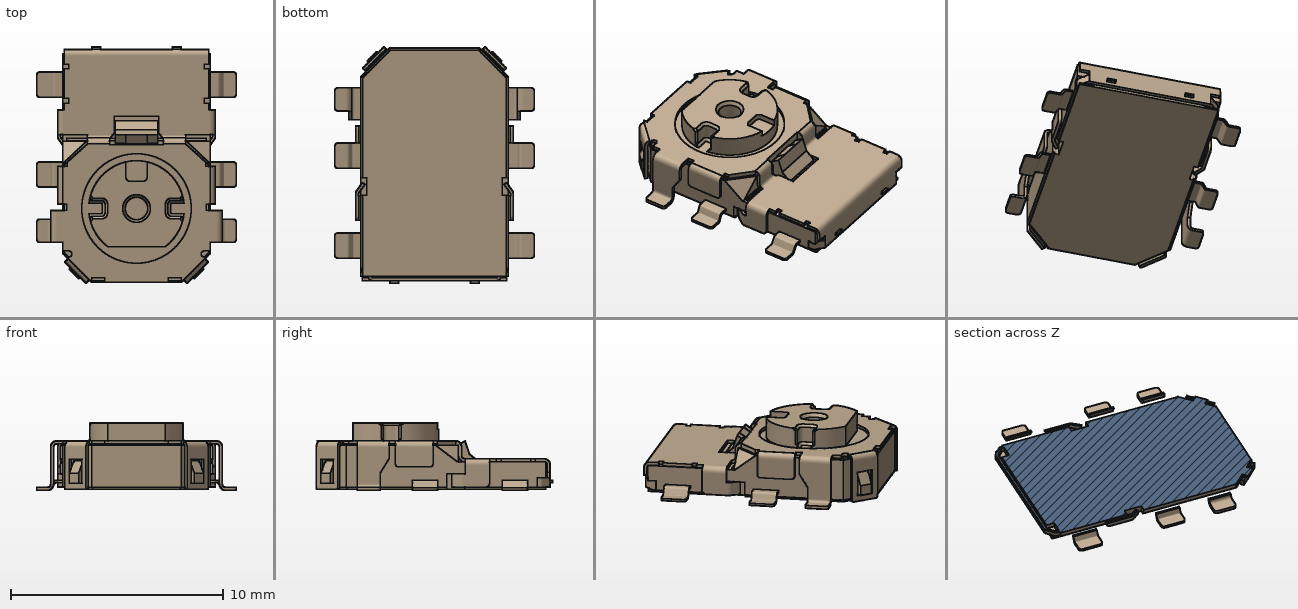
import cadquery as cq
import math


SHEET = 0.15
BEND = 0.215
COVER_TOP = 2.33
REAR_COVER_TOP = 1.49
COVER_MID_Z = COVER_TOP - SHEET / 2
REAR_COVER_MID_Z = REAR_COVER_TOP - SHEET / 2
CUT = 1.0

BODY_HALF_X = 3.48
BODY_BOTTOM = 0.145
BODY_TOP = COVER_TOP - SHEET
REAR_BODY_TOP = REAR_COVER_TOP - SHEET
BODY_FRONT_Y = -3.475
BODY_STEP_Y = 3.17
BODY_REAR_Y = 7.28
FRONT_CHAMFER = 1.37
TOP_EDGE_CHAMFER = 0.07
FACET_FRONT_Y = 2.1
FACET_REAR_Y = 3.12
FACET_INNER_X = 2.35
SIDE_NOTCH_Y = (2.63, 3.47)
SIDE_NOTCH_DEPTH = 0.3
SIDE_NOTCH_TOP = 0.77
LEDGE_GROOVE_HALF_X = 3.28
LEDGE_GROOVE_Y = (3.18, 3.30)
LEDGE_GROOVE_DEPTH = 0.1

BASE_BOTTOM = 0.045
BASE_INSET = 0.1

ROTOR_R = 2.25
ROTOR_TOP = 3.17
ROTOR_FLAT_Y = -1.8
DISC_R = 2.58
DISC_RECESS = 0.13
DISC_TOP = COVER_TOP - DISC_RECESS
HOLE_R = 0.53
HOLE_CHAMFER = 0.12
HOLE_CHAMFER_DEPTH = 0.18
HOLE_DEPTH = 1.5
INDEX_NOTCH_W = 1.0
INDEX_NOTCH_Y = 1.28
INDEX_NOTCH_DEPTH = 0.29
INDEX_NOTCH_R = 0.2
SLOT_W = 0.74
SLOT_INNER_X = 1.48
SLOT_CHAMFER = 0.12
SLOT_CORNER_R = 0.17
SLOT_FLOOR_CHAMFER = 0.13
SLOT_MOUTH_CHAMFER = 0.1

COVER_HALF_X = BODY_HALF_X
REAR_COVER_HALF_X = 3.41
COVER_REAR_Y = 3.04
COVER_SIDE_Y = 1.98
COVER_REAR_HALF_X = 2.31
REAR_COVER_FRONT_Y = 3.48
REAR_COVER_BACK_Y = 7.49
STEP_MID_Y = BODY_STEP_Y + SHEET / 2
WINDOW_HALF_X = 1.26
WINDOW_FRONT_Y = 3.0
WINDOW_FLARE_Y = (3.27, 3.55)
REAR_WINDOW_HALF_X = 1.045
REAR_WINDOW_BACK_Y = 4.35
FRONT_RELIEF_X = (1.5, 2.1)
FRONT_RELIEF_Y = -3.27
CORNER_RELIEF_X = 3.18
CORNER_RELIEF_Y = (-2.28, -2.0)
REAR_RELIEF_X = 3.18
REAR_RELIEF_Y = ((4.96, 5.18), (6.58, 6.79))

ROOT_X = 3.18
WING_OUTER_X = 3.717
WING_Y = (0.2, 1.98)
WING_BOTTOM = 1.1
WING_CORNER_R = 0.15
REAR_WING_Y = (REAR_COVER_FRONT_Y, 4.64)
REAR_WING_CORNER_R = 0.2
CURL_REACH_Y = 3.12
CURL_END_Y = 2.91

FOOT_END_X = 4.7
FOOT_CORNER_R = 0.15
LEG_OUTER_X = 4.045
LEG_Y = (-1.6, -0.09)
LEG_FOOT_Y = -0.5
LEG_TAPER_Z = (0.84, 1.49)

SIDE_RELIEFS = (
    (3.26, WING_Y[1], 2.2),
    (3.29, LEG_Y[1], WING_Y[0]),
)

FLAP_OUTER = 4.175
FLAP_W = 1.42
CORNER_ANGLE = -45
FLAP_SHIFT = -0.1
FLAP_CORNER_R = 0.08
FLAP_WINDOW_W = 0.835
HOOK_W = 0.62
HOOK_OUTER = 4.26
HOOK_INNER = 3.96
HOOK_Z = (0.33, 0.81, 1.39)
FLAP_WINDOW_Z = (HOOK_Z[0], 1.46)

TERMINAL_SHEET = 0.11
TERMINAL_W = 1.2
TERMINAL_BEND = 0.09
TERMINAL_UPPER_Z = 0.405
TERMINAL_BEND_END_X = 4.07
TERMINALS = ((1.6, 3.91), (5.83, 3.86))
PIN_X = (1.69, 2.1)
PIN_Z = (0.35, 0.46)
PIN_END_Y = 7.61
EAR_END_Y = 6.89
EAR_TOP = 0.6
EAR_X = (2.95, 3.35)
EAR_DIAGONAL_Y = 7.03
EAR_RELIEF_TOP = 0.84
EAR_RADIUS = 0.15
EAR_POCKET_X = 2.7

STOP_HALF_X = 1.0
STOP_RAMP_Y = 4.13
STOP_KNEE = (3.695, 1.70)
STOP_CREST = (3.48, COVER_TOP)
STOP_NOSE_Z = 2.05
STOP_FRONT_Y = (3.08, 3.04)
STOP_MID_HALF_X = 0.5


def box(x, y, z):
    """Box from (low, high) pairs."""
    return cq.Workplane("XY").box(
        x[1] - x[0], y[1] - y[0], z[1] - z[0], centered=False
    ).translate((x[0], y[0], z[0]))


def both_sides(shape):
    """Shape together with its mirror image in X."""
    return shape.union(shape.mirror("YZ"))


def bent_strip(plane, path, width, thickness, radius):
    """Sheet of constant thickness following a centreline with rounded bends."""
    half = thickness / 2
    pts = [cq.Vector(x, y, 0) for x, y in path]
    headings = [(b - a).normalized() for a, b in zip(pts, pts[1:])]
    normals = [cq.Vector(-d.y, d.x, 0) for d in headings]

    def side(sign):
        """Straight and arc stretches of one face, in path order."""
        stretches = [("line", pts[0] + normals[0] * (sign * half))]
        for i in range(1, len(pts) - 1):
            before, after = headings[i - 1], headings[i]
            turn = math.atan2(before.cross(after).z, before.dot(after))
            hand = math.copysign(1, turn)
            setback = radius * math.tan(abs(turn) / 2)
            start = pts[i] - before * setback
            centre = start + normals[i - 1] * (hand * radius)
            arm = radius - sign * hand * half
            middle = (normals[i - 1] + normals[i]).normalized()
            stretches.append(("line", centre - normals[i - 1] * (hand * arm)))
            stretches.append(("arc", centre - middle * (hand * arm), centre - normals[i] * (hand * arm)))
        stretches.append(("line", pts[-1] + normals[-1] * (sign * half)))
        return stretches

    left = side(1)
    right = side(-1)
    profile = cq.Workplane(plane).moveTo(*left[0][1].toTuple()[:2])
    for kind, *ends in left[1:]:
        if kind == "line":
            profile = profile.lineTo(ends[0].x, ends[0].y)
        else:
            profile = profile.threePointArc((ends[0].x, ends[0].y), (ends[1].x, ends[1].y))
    profile = profile.lineTo(right[-1][1].x, right[-1][1].y)
    for i in range(len(right) - 1, 0, -1):
        target = right[i - 1][-1]
        if right[i][0] == "line":
            profile = profile.lineTo(target.x, target.y)
        else:
            profile = profile.threePointArc((right[i][1].x, right[i][1].y), (target.x, target.y))
    return profile.close().extrude(width / 2, both=True)


def side_strip(path, y, thickness=SHEET, radius=BEND):
    """Bent strip in XZ spanning a Y range."""
    strip = bent_strip("XZ", path, y[1] - y[0], thickness, radius)
    return strip.translate((0, (y[0] + y[1]) / 2, 0))


def front_outline(rear_y):
    """Outline shared by the body and the base: chamfered front corners."""
    half = BODY_HALF_X
    return [
        (-half, rear_y),
        (-half, BODY_FRONT_Y + FRONT_CHAMFER),
        (-half + FRONT_CHAMFER, BODY_FRONT_Y),
        (half - FRONT_CHAMFER, BODY_FRONT_Y),
        (half, BODY_FRONT_Y + FRONT_CHAMFER),
        (half, rear_y),
    ]


def prism(points, bottom, top):
    """Vertical prism over an XY outline."""
    return cq.Workplane("XY").polyline(points).close().extrude(top - bottom).translate((0, 0, bottom))


def facet_cutter():
    """Sloped slice off the rear top corner, with a flat ledge beside the cover."""
    high_z = BODY_TOP - TOP_EDGE_CHAMFER
    a = cq.Vector(BODY_HALF_X, FACET_FRONT_Y, high_z)
    b = cq.Vector(BODY_HALF_X, FACET_REAR_Y, REAR_BODY_TOP)
    c = cq.Vector(FACET_INNER_X, BODY_STEP_Y, high_z)
    normal = (b - a).cross(c - a)
    if normal.z < 0:
        normal = -normal
    plane = cq.Plane(origin=a, xDir=(c - a), normal=normal)
    size = BODY_HALF_X + CUT
    slab = cq.Workplane(plane).rect(size, size).extrude(CUT)
    slope = slab.intersect(box((0, size), (0, size), (REAR_BODY_TOP, COVER_TOP)))
    ledge_outline = [
        (BODY_HALF_X, COVER_SIDE_Y),
        (COVER_REAR_HALF_X, COVER_REAR_Y),
        (COVER_REAR_HALF_X, BODY_STEP_Y),
        (BODY_HALF_X, BODY_STEP_Y),
    ]
    return slope.union(prism(ledge_outline, high_z, COVER_TOP))


def make_body():
    tall = prism(front_outline(BODY_STEP_Y), BODY_BOTTOM, BODY_TOP)
    tall = tall.faces(">Z").edges().chamfer(TOP_EDGE_CHAMFER)
    tall = tall.cut(both_sides(facet_cutter()))
    rear = box((-BODY_HALF_X, BODY_HALF_X), (0, BODY_REAR_Y), (BODY_BOTTOM, REAR_BODY_TOP))
    base = cq.Workplane("XY").polyline(front_outline(BODY_REAR_Y + BASE_INSET)).close()
    base = base.offset2D(-BASE_INSET).extrude(BODY_BOTTOM - BASE_BOTTOM).translate((0, 0, BASE_BOTTOM))
    outer_x = BODY_HALF_X + CUT
    side_notch = box((BODY_HALF_X - SIDE_NOTCH_DEPTH, outer_x), SIDE_NOTCH_Y, (0, SIDE_NOTCH_TOP))
    ear_pocket = box((EAR_POCKET_X, outer_x), (EAR_END_Y, BODY_REAR_Y), (BODY_BOTTOM, EAR_TOP))
    groove = box((0, LEDGE_GROOVE_HALF_X), LEDGE_GROOVE_Y, (REAR_BODY_TOP - LEDGE_GROOVE_DEPTH, BODY_TOP))
    pin = box(PIN_X, (BODY_REAR_Y, PIN_END_Y), PIN_Z)
    body = tall.union(rear).union(base)
    for pocket in (side_notch, ear_pocket, groove):
        body = body.cut(both_sides(pocket))
    return body.union(both_sides(pin))


def make_rotor_slot():
    """Drive slot open to the rim, narrowing towards its floor."""
    slot = box((SLOT_INNER_X, ROTOR_R + CUT), (-SLOT_W / 2, SLOT_W / 2), (DISC_TOP, ROTOR_TOP))
    slot = slot.edges("|Z and <X").fillet(SLOT_CORNER_R)
    return slot.faces("<Z").edges("not >X").chamfer(SLOT_FLOOR_CHAMFER)


def chamfer_slot_edges(rotor):
    """Break the slot edges at the rim and on the top face."""
    half = SLOT_W / 2 + SLOT_CHAMFER
    margin = SLOT_CHAMFER / 2
    for x in (-ROTOR_R, ROTOR_R):
        mouth = cq.selectors.BoxSelector(
            (x - SLOT_CHAMFER, -half, DISC_TOP), (x + SLOT_CHAMFER, half, ROTOR_TOP)
        )
        rotor = rotor.edges("|Z").edges(mouth).chamfer(SLOT_MOUTH_CHAMFER)
    for x0, x1 in ((-ROTOR_R, -SLOT_INNER_X), (SLOT_INNER_X, ROTOR_R)):
        top = cq.selectors.BoxSelector(
            (x0 - margin, -half, ROTOR_TOP - margin), (x1 + margin, half, ROTOR_TOP + margin)
        )
        rotor = rotor.faces(">Z").edges(top).chamfer(SLOT_CHAMFER)
    return rotor


def make_rotor():
    rotor = cq.Workplane("XY").circle(ROTOR_R).extrude(ROTOR_TOP - REAR_BODY_TOP)
    rotor = rotor.translate((0, 0, REAR_BODY_TOP))
    rim = ROTOR_R + CUT
    rotor = rotor.cut(box((-rim, rim), (-rim, ROTOR_FLAT_Y), (0, ROTOR_TOP + CUT)))
    rotor = rotor.cut(both_sides(make_rotor_slot()))
    rotor = chamfer_slot_edges(rotor)
    index = box(
        (-INDEX_NOTCH_W / 2, INDEX_NOTCH_W / 2),
        (INDEX_NOTCH_Y, rim),
        (ROTOR_TOP - INDEX_NOTCH_DEPTH, ROTOR_TOP + CUT),
    )
    return rotor.cut(index.edges("|Z and <Y").fillet(INDEX_NOTCH_R))


def make_rotor_hole():
    profile = [
        (0, 0),
        (HOLE_R + HOLE_CHAMFER, 0),
        (HOLE_R, -HOLE_CHAMFER_DEPTH),
        (HOLE_R, -HOLE_DEPTH),
        (0, -HOLE_DEPTH),
    ]
    hole = cq.Workplane("XZ").polyline(profile).close().revolve(360, (0, 0), (0, 1))
    return hole.translate((0, 0, ROTOR_TOP))


def make_front_plate():
    half = COVER_HALF_X
    outline = [
        (half, COVER_SIDE_Y),
        (COVER_REAR_HALF_X, COVER_REAR_Y),
        (-COVER_REAR_HALF_X, COVER_REAR_Y),
        (-half, COVER_SIDE_Y),
    ] + front_outline(COVER_SIDE_Y)[1:-1]
    plate = prism(outline, BODY_TOP, COVER_TOP)
    plate = plate.cut(cq.Workplane("XY").circle(DISC_R).extrude(COVER_TOP))
    through = (BODY_TOP - CUT, COVER_TOP + CUT)
    reliefs = box(FRONT_RELIEF_X, (BODY_FRONT_Y - CUT, FRONT_RELIEF_Y), through)
    for inner_x, y0, y1 in SIDE_RELIEFS:
        reliefs = reliefs.union(box((inner_x, half + CUT), (y0, y1), through))
    y0, y1 = CORNER_RELIEF_Y
    corner = cq.Workplane("XY").center(CORNER_RELIEF_X, (y0 + y1) / 2).circle((y1 - y0) / 2)
    corner = corner.extrude(COVER_TOP)
    corner = corner.union(box((CORNER_RELIEF_X, half + CUT), (y0, y1), (0, COVER_TOP)))
    return plate.cut(both_sides(reliefs.union(corner)))


def make_rear_plate():
    back_mid = REAR_COVER_BACK_Y - SHEET / 2
    plate = bent_strip(
        "YZ",
        [(REAR_COVER_FRONT_Y, REAR_COVER_MID_Z), (back_mid, REAR_COVER_MID_Z), (back_mid, BODY_BOTTOM)],
        2 * REAR_COVER_HALF_X, SHEET, BEND,
    )
    for y in REAR_RELIEF_Y:
        relief = box((REAR_RELIEF_X, BODY_HALF_X), y, (REAR_BODY_TOP, REAR_COVER_TOP))
        plate = plate.cut(both_sides(relief))
    start_x, end_x = EAR_X
    corner = box((start_x, BODY_HALF_X), (BODY_REAR_Y, REAR_COVER_BACK_Y), (BODY_BOTTOM, EAR_RELIEF_TOP))
    ear_path = [
        (start_x - SHEET, back_mid),
        (start_x, back_mid),
        (end_x, EAR_DIAGONAL_Y),
        (end_x, EAR_END_Y),
    ]
    ear = bent_strip("XY", ear_path, EAR_TOP - BODY_BOTTOM, SHEET, EAR_RADIUS)
    ear = ear.translate((0, 0, (EAR_TOP + BODY_BOTTOM) / 2))
    return plate.cut(both_sides(corner)).union(both_sides(ear))


def make_step():
    """Z-shaped web joining the two cover levels."""
    path = [
        (COVER_REAR_Y - SHEET, COVER_MID_Z),
        (STEP_MID_Y, COVER_MID_Z),
        (STEP_MID_Y, REAR_COVER_MID_Z),
        (REAR_COVER_FRONT_Y, REAR_COVER_MID_Z),
    ]
    return bent_strip("YZ", path, 2 * COVER_REAR_HALF_X, SHEET, BEND)


def make_window():
    """Opening across the step, flaring forward from the rear cut-out."""
    narrow, wide = REAR_WINDOW_HALF_X, WINDOW_HALF_X
    side = [
        (narrow, REAR_WINDOW_BACK_Y),
        (narrow, WINDOW_FLARE_Y[1]),
        (wide, WINDOW_FLARE_Y[0]),
        (wide, WINDOW_FRONT_Y),
    ]
    return prism(side + [(-x, y) for x, y in reversed(side)], REAR_BODY_TOP, COVER_TOP)


def make_ramp_stop():
    """Ramped stop that rises through the window, with a longer lip at mid width."""
    front_y, lip_y = STOP_FRONT_Y
    root_z = REAR_BODY_TOP - SHEET
    ramp = [(STOP_RAMP_Y, root_z), (STOP_RAMP_Y, REAR_BODY_TOP), STOP_KNEE, STOP_CREST]

    def block(half_x, nose_y):
        nose = [(nose_y, STOP_NOSE_Z), (nose_y, root_z)]
        return cq.Workplane("YZ").polyline(ramp + nose).close().extrude(half_x, both=True)

    return block(STOP_HALF_X, front_y).union(block(STOP_MID_HALF_X, lip_y))


def make_wings():
    """Side wings of both cover levels; the rear ones curl into the body notches."""
    mid_x = WING_OUTER_X - SHEET / 2
    front = side_strip([(ROOT_X, COVER_MID_Z), (mid_x, COVER_MID_Z), (mid_x, WING_BOTTOM)], WING_Y)
    front = front.faces("<Z").edges("|X").fillet(WING_CORNER_R)
    rear_path = [(ROOT_X, REAR_COVER_MID_Z), (mid_x, REAR_COVER_MID_Z), (mid_x, BODY_BOTTOM)]
    rear = side_strip(rear_path, REAR_WING_Y)
    rear = rear.faces("<Z").edges("|X and >Y").fillet(REAR_WING_CORNER_R)
    inner_x = BODY_HALF_X - SHEET
    curl = bent_strip(
        "XY",
        [(mid_x, REAR_WING_Y[0]), (mid_x, CURL_REACH_Y + BEND), (inner_x, CURL_END_Y)],
        SIDE_NOTCH_TOP - BODY_BOTTOM, SHEET, BEND,
    ).translate((0, 0, (SIDE_NOTCH_TOP + BODY_BOTTOM) / 2))
    return both_sides(front.union(rear).union(curl))


def make_legs():
    """Soldering legs bent down from the front plate and out into feet."""
    mid_x = LEG_OUTER_X - SHEET / 2
    path = [(ROOT_X, COVER_MID_Z), (mid_x, COVER_MID_Z), (mid_x, SHEET / 2), (FOOT_END_X, SHEET / 2)]
    leg = side_strip(path, LEG_Y)
    y1 = LEG_Y[1]
    taper_low, taper_high = LEG_TAPER_Z
    taper = [(y1, taper_high), (LEG_FOOT_Y, taper_low), (LEG_FOOT_Y, -CUT), (CUT, -CUT), (CUT, taper_high)]
    leg = leg.cut(cq.Workplane("YZ").polyline(taper).close().extrude(FOOT_END_X + CUT))
    return both_sides(leg.faces(">X").edges("|Z").fillet(FOOT_CORNER_R))


def make_terminals():
    half = TERMINAL_SHEET / 2
    terminals = cq.Workplane("XY")
    for y, bend_x in TERMINALS:
        path = [
            (ROOT_X, TERMINAL_UPPER_Z),
            (bend_x, TERMINAL_UPPER_Z),
            (TERMINAL_BEND_END_X, half),
            (FOOT_END_X, half),
        ]
        strip = side_strip(path, (y - TERMINAL_W / 2, y + TERMINAL_W / 2), TERMINAL_SHEET, TERMINAL_BEND)
        terminals = terminals.add(strip.faces(">X").edges("|Z").fillet(FOOT_CORNER_R))
    return both_sides(terminals.combine())


def make_corner_flaps():
    """Flaps over the front chamfers, each latched on a moulded hook."""
    mid = FLAP_OUTER - SHEET / 2
    root = HOOK_INNER - SHEET
    path = [(root, COVER_MID_Z), (mid, COVER_MID_Z), (mid, BASE_BOTTOM)]
    flap = side_strip(path, (-FLAP_W / 2, FLAP_W / 2))
    flap = flap.faces("<Z").edges("|X").fillet(FLAP_CORNER_R)
    flap = flap.cut(box((HOOK_INNER, HOOK_OUTER), (-FLAP_WINDOW_W / 2, FLAP_WINDOW_W / 2), FLAP_WINDOW_Z))
    bottom, shoulder, top = HOOK_Z
    profile = [(root, bottom), (HOOK_OUTER, bottom), (HOOK_OUTER, shoulder), (HOOK_INNER, top), (root, top)]
    hook = cq.Workplane("XZ").polyline(profile).close().extrude(HOOK_W / 2, both=True)
    latch = flap.union(hook).translate((0, FLAP_SHIFT, 0)).rotate((0, 0, 0), (0, 0, 1), CORNER_ANGLE)
    return both_sides(latch)


def make_disc():
    disc = cq.Workplane("XY").circle(DISC_R).extrude(DISC_TOP - REAR_BODY_TOP)
    return disc.translate((0, 0, REAR_BODY_TOP))


cover = make_front_plate().union(make_rear_plate()).union(make_step()).cut(make_window())
result = make_body().cut(make_window()).union(cover).union(make_disc()).union(make_rotor())
for feature in (make_ramp_stop(), make_wings(), make_legs(), make_terminals(), make_corner_flaps()):
    result = result.union(feature)
result = result.cut(make_rotor_hole())